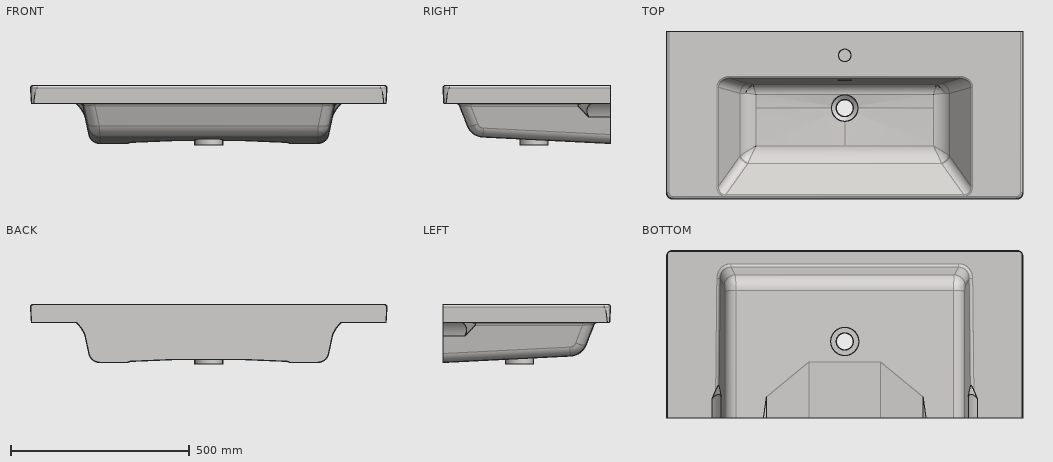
import cadquery as cq
import math


WIDTH = 1000.0
DEPTH = 470.3
HEIGHT = 167.5
SLAB_THICKNESS = 51.0
SLAB_TAPER = 2.5
SLAB_CORNER_RADIUS = 18.0
SLAB_TOP_RADIUS = 7.5

BASIN_DEPTH = 111.0
BASIN_HALF_WIDTH = 355.5
BASIN_BACK = -131.0
BASIN_FRONT = -459.5
BASIN_SIDE_RUN = 78.0
BASIN_BACK_RUN = 22.0
BASIN_FRONT_RUN = 109.5
BASIN_SIDE_RADIUS = 55.0
BASIN_BACK_RADIUS = 29.0
BASIN_FRONT_RADIUS = 70.0
BASIN_CORNER_RADIUS = 28.0
BASIN_RIM_RADIUS = 6.0

FALL_DEPTH = 6.5

DRAIN_Y = -215.0
DRAIN_BOSS_DIAMETER = 79.0
DRAIN_SEAT_DIAMETER = 74.0
DRAIN_HOLE_DIAMETER = 47.0
DRAIN_SEAT_DEPTH = 10.0

TAP_HOLE_DIAMETER = 35.0
TAP_HOLE_Y = -67.0
TAP_HOLE_DEPTH = 11.0
OVERFLOW_WIDTH = 38.0
OVERFLOW_HEIGHT = 8.0
OVERFLOW_Z = -31.0
OVERFLOW_DEPTH = 3.0

BODY_TOP_HALF_WIDTH = 355.0
BODY_BOTTOM_HALF_WIDTH = 331.0
BODY_TOP_FRONT = -426.0
BODY_BOTTOM_FRONT = -390.0
BODY_BOTTOM_Z = -163.0
BODY_BOTTOM_RISE_ANGLE = 2.9
BODY_SIDE_RADIUS = 32.0
BODY_FRONT_RADIUS = 50.0
BODY_FLARE_RADIUS = 10.0
BODY_OVERLAP_Z = -20.0

FOOT_INNER_HALF_WIDTH = 228.0
FOOT_STEP_WIDTH = 8.0
FOOT_STEP_HEIGHT = 3.0
RELIEF_HEIGHT = 8.0
RELIEF_CROWN_HALF_WIDTH = 100.0

BRACKET_TOP_HALF_WIDTH = 372.0
BRACKET_BOTTOM_Z = -88.0
BRACKET_FLARE_MIDDLE = (357.5, -67.0)
BRACKET_ROOT_DEPTH = 50.0
BRACKET_OUTER_LENGTH = 55.0
BRACKET_BOTTOM_LENGTH = 61.0
BRACKET_TOP_LENGTH = 95.0

EDGE_CLEARANCE = 1.0

body_front_bottom_z = BODY_BOTTOM_Z - BODY_BOTTOM_FRONT * math.tan(math.radians(BODY_BOTTOM_RISE_ANGLE))


def body_half_width(z):
    """Half width of the straight underbody flank at height z."""
    fraction = (z + SLAB_THICKNESS) / (BODY_BOTTOM_Z + SLAB_THICKNESS)
    return BODY_TOP_HALF_WIDTH + fraction * (BODY_BOTTOM_HALF_WIDTH - BODY_TOP_HALF_WIDTH)


def body_front(z):
    """Y of the straight underbody front at height z."""
    fraction = (z + SLAB_THICKNESS) / (body_front_bottom_z + SLAB_THICKNESS)
    return BODY_TOP_FRONT + fraction * (BODY_BOTTOM_FRONT - BODY_TOP_FRONT)


def prism(plane, points, length):
    """Prism of a closed outline, centred on the given plane."""
    return cq.Workplane(plane).polyline(points).close().extrude(length / 2, both=True)


def sloping_edges(solid):
    """Edges that run downwards, where a front or back wall meets a side wall."""
    return solid.edges("not(#Z)")


def slab():
    """Slab whose sides and front lean in below the rounded top edge."""
    half = WIDTH / 2
    low_half = half - SLAB_TAPER
    low_front = -DEPTH + SLAB_TAPER
    body = cq.Workplane("XY").box(WIDTH, DEPTH, SLAB_THICKNESS, centered=(True, False, False))
    body = body.translate((0, -DEPTH, -SLAB_THICKNESS))
    front_taper = prism("YZ", [(0, 0), (-DEPTH, 0), (-DEPTH, -SLAB_TOP_RADIUS),
                               (low_front, -SLAB_THICKNESS), (0, -SLAB_THICKNESS)], WIDTH)
    side_taper = prism("XZ", [(-half, 0), (-half, -SLAB_TOP_RADIUS), (-low_half, -SLAB_THICKNESS),
                              (low_half, -SLAB_THICKNESS), (half, -SLAB_TOP_RADIUS), (half, 0)], 2 * DEPTH)
    body = body.edges("|Z and <Y").fillet(SLAB_CORNER_RADIUS)
    body = body.faces(">Z").edges("not >Y").fillet(SLAB_TOP_RADIUS)
    return body.intersect(side_taper).intersect(front_taper)


def underbody():
    """Tapered body whose bottom rises towards the front."""
    long_section = prism(
        "YZ",
        [(0, BODY_OVERLAP_Z), (0, BODY_BOTTOM_Z), (BODY_BOTTOM_FRONT, body_front_bottom_z),
         (body_front(BODY_OVERLAP_Z), BODY_OVERLAP_Z)], WIDTH)
    bottom_front_edge = long_section.edges(
        cq.selectors.NearestToPointSelector((0, BODY_BOTTOM_FRONT, body_front_bottom_z)))
    long_section = bottom_front_edge.fillet(BODY_FRONT_RADIUS)
    cross_section = prism(
        "XZ",
        [(-body_half_width(0), 0), (-BODY_BOTTOM_HALF_WIDTH, BODY_BOTTOM_Z),
         (BODY_BOTTOM_HALF_WIDTH, BODY_BOTTOM_Z), (body_half_width(0), 0)], 3 * DEPTH)
    cross_section = cross_section.rotate(
        (0, 0, BODY_BOTTOM_Z), (1, 0, BODY_BOTTOM_Z), -BODY_BOTTOM_RISE_ANGLE)
    body = long_section.intersect(cross_section)
    below_overlap = cq.selectors.BoxSelector(
        (-WIDTH, -DEPTH, -HEIGHT), (WIDTH, -EDGE_CLEARANCE, BODY_OVERLAP_Z - EDGE_CLEARANCE))
    return sloping_edges(body).edges(below_overlap).fillet(BODY_SIDE_RADIUS)


def foot_relief():
    """Shallow hollow between the two feet; it runs out where the bottom rises above it."""
    foot_top = FOOT_INNER_HALF_WIDTH - FOOT_STEP_WIDTH
    step_z = BODY_BOTTOM_Z + FOOT_STEP_HEIGHT
    crown_z = BODY_BOTTOM_Z + RELIEF_HEIGHT
    return prism(
        "XZ",
        [(-FOOT_INNER_HALF_WIDTH, BODY_BOTTOM_Z), (-foot_top, step_z), (-RELIEF_CROWN_HALF_WIDTH, crown_z),
         (RELIEF_CROWN_HALF_WIDTH, crown_z), (foot_top, step_z), (FOOT_INNER_HALF_WIDTH, BODY_BOTTOM_Z)],
        2 * DEPTH)


def bracket():
    """Bracket on the +X side: a concave flare closed by a slanted end face."""
    flank_top = BODY_TOP_HALF_WIDTH
    flank_bottom = body_half_width(BRACKET_BOTTOM_Z)
    root = flank_bottom - BRACKET_ROOT_DEPTH
    flare = (
        cq.Workplane("XZ")
        .moveTo(root, -SLAB_THICKNESS)
        .lineTo(BRACKET_TOP_HALF_WIDTH, -SLAB_THICKNESS)
        .threePointArc(BRACKET_FLARE_MIDDLE, (flank_bottom, BRACKET_BOTTOM_Z))
        .lineTo(root, BRACKET_BOTTOM_Z)
        .close()
        .extrude(BRACKET_TOP_LENGTH)
    )
    slant = (BRACKET_TOP_LENGTH - BRACKET_OUTER_LENGTH) / (BRACKET_TOP_HALF_WIDTH - flank_top)

    def end_outline(z, x_on_end, length_on_end):
        inner_length = length_on_end + slant * (x_on_end - root)
        outer_length = length_on_end + slant * (x_on_end - BRACKET_TOP_HALF_WIDTH)
        return cq.Wire.makePolygon(
            [cq.Vector(root, DEPTH, z), cq.Vector(BRACKET_TOP_HALF_WIDTH, DEPTH, z),
             cq.Vector(BRACKET_TOP_HALF_WIDTH, -outer_length, z),
             cq.Vector(root, -inner_length, z)], close=True)

    limit = cq.Solid.makeLoft(
        [end_outline(-SLAB_THICKNESS, flank_top, BRACKET_TOP_LENGTH),
         end_outline(BRACKET_BOTTOM_Z, flank_bottom, BRACKET_BOTTOM_LENGTH)], True)
    return flare.intersect(cq.Workplane(obj=limit))


def basin():
    """Pocket with sloping walls, rounded into a flat floor."""
    long_section = prism(
        "YZ",
        [(BASIN_BACK, 0), (BASIN_BACK - BASIN_BACK_RUN, -BASIN_DEPTH),
         (BASIN_FRONT + BASIN_FRONT_RUN, -BASIN_DEPTH), (BASIN_FRONT, 0)], WIDTH)
    long_section = long_section.faces("<Z").edges(">Y").fillet(BASIN_BACK_RADIUS)
    long_section = long_section.faces("<Z").edges("<Y").fillet(BASIN_FRONT_RADIUS)
    floor_half = BASIN_HALF_WIDTH - BASIN_SIDE_RUN
    cross_section = prism(
        "XZ",
        [(-BASIN_HALF_WIDTH, 0), (-floor_half, -BASIN_DEPTH),
         (floor_half, -BASIN_DEPTH), (BASIN_HALF_WIDTH, 0)], 3 * DEPTH)
    cross_section = cross_section.faces("<Z").edges("|Y").fillet(BASIN_SIDE_RADIUS)
    return sloping_edges(long_section.intersect(cross_section)).fillet(BASIN_CORNER_RADIUS)


def floor_fall(pocket):
    """Hollow under the flat pocket floor: four twisted panels that fall to the drain."""
    floor_box = pocket.faces("<Z").val().BoundingBox()
    rim_z = -BASIN_DEPTH
    drain = cq.Vector(0, DRAIN_Y, rim_z - FALL_DEPTH)
    corners = []
    panels = []
    for side_x, end_y in ((floor_box.xmax, floor_box.ymax), (floor_box.xmin, floor_box.ymax),
                          (floor_box.xmin, floor_box.ymin), (floor_box.xmax, floor_box.ymin)):
        corner = cq.Vector(side_x, end_y, rim_z)
        side_middle = cq.Vector(side_x, DRAIN_Y, rim_z)
        end_middle = cq.Vector(0, end_y, rim_z)
        panels.append(cq.Face.makeRuledSurface(
            cq.Edge.makeLine(drain, side_middle), cq.Edge.makeLine(end_middle, corner)))
        corners.append(corner)
    lid = cq.Face.makeFromWires(cq.Wire.makePolygon(corners, close=True))
    hollow = cq.Workplane(obj=cq.Solid.makeSolid(cq.Shell.makeShell([lid] + panels)))
    floor_outline = pocket.faces("<Z").wires().toPending().workplane().extrude(FALL_DEPTH, combine=False)
    return hollow.intersect(floor_outline)


def vertical_cylinder(diameter, y, bottom, top):
    return cq.Workplane("XY", origin=(0, y, bottom)).circle(diameter / 2).extrude(top - bottom)


def drain_passage():
    """Through hole with a conical seat that opens at the basin floor."""
    seat_z = -BASIN_DEPTH - FALL_DEPTH
    hole = vertical_cylinder(DRAIN_HOLE_DIAMETER, DRAIN_Y, -HEIGHT, seat_z)
    seat = cq.Solid.makeCone(
        DRAIN_HOLE_DIAMETER / 2, DRAIN_SEAT_DIAMETER / 2, DRAIN_SEAT_DEPTH,
        pnt=cq.Vector(0, DRAIN_Y, seat_z - DRAIN_SEAT_DEPTH))
    rim = vertical_cylinder(DRAIN_SEAT_DIAMETER, DRAIN_Y, seat_z, -BASIN_DEPTH)
    return hole.union(cq.Workplane(obj=seat)).union(rim)


def overflow_slot():
    """Shallow slot sunk square into the sloping back wall of the basin."""
    wall_y = BASIN_BACK + OVERFLOW_Z / BASIN_DEPTH * BASIN_BACK_RUN
    wall_normal = (0, -BASIN_DEPTH, BASIN_BACK_RUN)
    plane = cq.Plane(origin=(0, wall_y, OVERFLOW_Z), xDir=(1, 0, 0), normal=wall_normal)
    return cq.Workplane(plane).slot2D(OVERFLOW_WIDTH, OVERFLOW_HEIGHT).extrude(-OVERFLOW_DEPTH)


def basin_rim_edges(part):
    return part.edges(cq.selectors.BoxSelector(
        (-BASIN_HALF_WIDTH - EDGE_CLEARANCE, BASIN_FRONT - EDGE_CLEARANCE, -EDGE_CLEARANCE),
        (BASIN_HALF_WIDTH + EDGE_CLEARANCE, BASIN_BACK + EDGE_CLEARANCE, EDGE_CLEARANCE), boundingbox=True))


def underside_joint_edges(part):
    """Front and side edges where the underbody meets the slab."""
    low = -SLAB_THICKNESS - EDGE_CLEARANCE
    high = -SLAB_THICKNESS + EDGE_CLEARANCE
    return part.edges(cq.selectors.BoxSelector(
        (-BODY_TOP_HALF_WIDTH - EDGE_CLEARANCE, BODY_TOP_FRONT - EDGE_CLEARANCE, low),
        (BODY_TOP_HALF_WIDTH + EDGE_CLEARANCE, -EDGE_CLEARANCE, high)))


part = slab().union(underbody())
part = underside_joint_edges(part).fillet(BODY_FLARE_RADIUS)
part = part.cut(foot_relief())
part = part.union(bracket()).union(bracket().mirror("YZ"))
part = part.union(vertical_cylinder(DRAIN_BOSS_DIAMETER, DRAIN_Y, -HEIGHT, -BASIN_DEPTH))
pocket = basin()
part = part.cut(pocket)
part = basin_rim_edges(part).fillet(BASIN_RIM_RADIUS)
part = part.cut(floor_fall(pocket)).cut(drain_passage()).cut(overflow_slot())
result = part.cut(vertical_cylinder(TAP_HOLE_DIAMETER, TAP_HOLE_Y, -TAP_HOLE_DEPTH, 0))